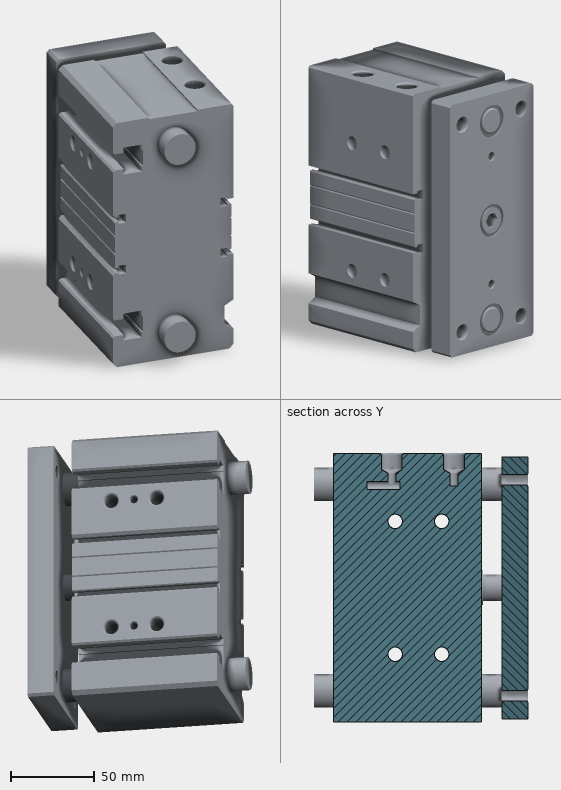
import cadquery as cq
import math

CUT_MARGIN = 1.6

PLATE_THICKNESS = 16.0
PLATE_DEPTH = 71.0
PLATE_HEIGHT = 158.1
PLATE_CHAMFER = 1.6
CORNER_HOLE_Y = 25.0
CORNER_HOLE_Z = 65.0
ROD_RECESS_DIAMETER = 20.1
ROD_RECESS_DEPTH = 1.3

HOUSING_START = 28.0
HOUSING_LENGTH = 89.5
HOUSING_DEPTH = 78.0
HOUSING_HEIGHT = 162.0
CORNER_CHAMFER = 2.6
TOP_BACK_CHAMFER = 1.1
TOP_RECESS_HALF_WIDTH = 15.7
TOP_RECESS_DEPTH = 1.0
BOSS_DIAMETER = 20.7
BOSS_HEIGHT = 1.0

T_SLOT_Z = 55.0
T_SLOT_MOUTH_HALF = 5.3
T_SLOT_CAVITY_HALF = 8.9
T_SLOT_LIP = 7.0
T_SLOT_DEPTH = 18.5
T_SLOT_CHAMFER = 1.22
T_SLOT_RELIEF_DEPTH = 1.0

BAND_HALF_HEIGHT = 15.2
BAND_RECESS = 1.22
SENSOR_SLOT_WIDTH = 3.2
SENSOR_SLOT_LIP = 3.7
SENSOR_SLOT_DEPTH = 8.5
SENSOR_SLOT_UNDERCUT = 1.3
SENSOR_SLOT_CHAMFER = 1.8
BAND_CHAMFER = 0.6
V_MARK_Z = 6.0
V_MARK_HALF_WIDTH = 0.6
V_MARK_DEPTH = 0.6

NOTCH_TOP = -49.0
NOTCH_BOTTOM = -67.9
NOTCH_DEPTH = 5.7
NOTCH_TAPER = 0.55

MOUNT_HOLE_DIAMETER = 8.5
MOUNT_HOLE_CHAMFER = 0.8
MOUNT_HOLE_OFFSETS = (24.1, 52.2)
CROSS_HOLE_Z = 40.0
PIN_HOLE_DIAMETER = 4.7
PIN_HOLE_CHAMFER = 0.5
PIN_HOLE_DEPTH = 13.0
DRILL_HALF_ANGLE = 59.0

PORT_OFFSETS = (16.7, 54.1)
PORT_Y = 27.9
PORT_DIAMETER = 12.2
PORT_CHAMFER_WIDTH = 1.22
PORT_CHAMFER_DEPTH = 0.8
PORT_DEPTH = 9.7
PORT_PASSAGE_DIAMETER = 4.7
PORT_PASSAGE_DEPTH = 19.5
GALLERY_LENGTH = 19.5

GUIDE_ROD_DIAMETER = 20.1
GUIDE_ROD_Z = 62.2
GUIDE_ROD_END = 129.0
ROD_NOSE_DIAMETER = 15.7
PISTON_ROD_DIAMETER = 16.0
ROD_NOSE_CHAMFER = 0.8
PISTON_ROD_END = 64.8
HEX_ACROSS_FLATS = 8.5
HEX_DEPTH = 4.9

BOSS_START = HOUSING_START - BOSS_HEIGHT
FRONT_Y = -HOUSING_DEPTH / 2
TOP_Z = HOUSING_HEIGHT / 2
PIN_HOLE_OFFSET = sum(MOUNT_HOLE_OFFSETS) / 2

X_DIR = cq.Vector(1, 0, 0)
Y_DIR = cq.Vector(0, 1, 0)
DOWN = cq.Vector(0, 0, -1)


def prism(yz_points):
    """Solid with the given YZ outline, running the full length of the housing."""
    outline = cq.Workplane("YZ", origin=(HOUSING_START, 0, 0)).polyline(yz_points).close()
    return outline.extrude(HOUSING_LENGTH)


def slot_tool(profile, centre_z, side):
    """Cutter from (depth, z offset) points; side is -1 for the front face and +1 for the back."""
    return prism([(side * (HOUSING_DEPTH / 2 - depth), centre_z + z) for depth, z in profile])


def rod(diameter, start, end, z=0.0):
    return cq.Workplane("YZ", origin=(start, 0, z)).circle(diameter / 2).extrude(end - start)


def drill(mouth, direction, profile):
    """Turned cutter: (radius, depth) points revolved about the line from mouth along direction."""
    across = Y_DIR if direction == X_DIR else X_DIR
    plane = cq.Plane(origin=mouth, xDir=across, normal=across.cross(direction))
    return cq.Workplane(plane).polyline([(0, 0), *profile]).close().revolve(360, (0, 0), (0, 1))


def chamfered_hole(mouth, direction, diameter, chamfer, depth):
    radius = diameter / 2
    profile = [(radius + chamfer, 0), (radius, chamfer), (radius, depth), (0, depth)]
    return drill(mouth, direction, profile)


def pin_hole(mouth, direction):
    """Chamfered blind hole with a drill-point bottom."""
    radius = PIN_HOLE_DIAMETER / 2
    tip = PIN_HOLE_DEPTH + radius / math.tan(math.radians(DRILL_HALF_ANGLE))
    profile = [
        (radius + PIN_HOLE_CHAMFER, 0),
        (radius, PIN_HOLE_CHAMFER),
        (radius, PIN_HOLE_DEPTH),
        (0, tip),
    ]
    return drill(mouth, direction, profile)


def port(mouth):
    """Chamfered port bore with a conical bottom leading to a narrow passage."""
    radius = PORT_DIAMETER / 2
    passage = PORT_PASSAGE_DIAMETER / 2
    cone_end = PORT_DEPTH + (radius - passage) / math.tan(math.radians(DRILL_HALF_ANGLE))
    profile = [
        (radius + PORT_CHAMFER_WIDTH, 0),
        (radius, PORT_CHAMFER_DEPTH),
        (radius, PORT_DEPTH),
        (passage, cone_end),
        (passage, PORT_PASSAGE_DEPTH),
        (0, PORT_PASSAGE_DEPTH),
    ]
    return drill(mouth, DOWN, profile)


def housing_block():
    back = HOUSING_DEPTH / 2
    c = CORNER_CHAMFER
    return prism([
        (FRONT_Y + c, -TOP_Z),
        (back - c, -TOP_Z),
        (back, -TOP_Z + c),
        (back, TOP_Z - TOP_BACK_CHAMFER),
        (back - TOP_BACK_CHAMFER, TOP_Z),
        (TOP_RECESS_HALF_WIDTH, TOP_Z),
        (TOP_RECESS_HALF_WIDTH, TOP_Z - TOP_RECESS_DEPTH),
        (-TOP_RECESS_HALF_WIDTH, TOP_Z - TOP_RECESS_DEPTH),
        (-TOP_RECESS_HALF_WIDTH, TOP_Z),
        (FRONT_Y + c, TOP_Z),
        (FRONT_Y, TOP_Z - c),
        (FRONT_Y, -TOP_Z + c),
    ])


def t_slot(centre_z):
    """Undercut slot with a chamfered mouth and a relief along its floor."""
    half_profile = [
        (0, T_SLOT_MOUTH_HALF + T_SLOT_CHAMFER),
        (T_SLOT_CHAMFER, T_SLOT_MOUTH_HALF),
        (T_SLOT_LIP, T_SLOT_MOUTH_HALF),
        (T_SLOT_LIP, T_SLOT_CAVITY_HALF),
        (T_SLOT_DEPTH, T_SLOT_CAVITY_HALF),
        (T_SLOT_DEPTH, T_SLOT_MOUTH_HALF),
        (T_SLOT_DEPTH + T_SLOT_RELIEF_DEPTH, T_SLOT_MOUTH_HALF),
    ]
    mirrored = [(depth, -z) for depth, z in reversed(half_profile)]
    return slot_tool(half_profile + mirrored, centre_z, -1)


def centre_band(side, mouth_chamfer):
    """Shallow recess of the centre band, its two sensor slots and its two V marks."""
    slot_top = BAND_HALF_HEIGHT + SENSOR_SLOT_WIDTH
    undercut_top = slot_top + SENSOR_SLOT_UNDERCUT
    half_profile = [
        (-CUT_MARGIN, slot_top + mouth_chamfer + CUT_MARGIN),
        (mouth_chamfer, slot_top),
        (SENSOR_SLOT_LIP, slot_top),
        (SENSOR_SLOT_LIP, undercut_top),
        (SENSOR_SLOT_DEPTH, undercut_top),
        (SENSOR_SLOT_DEPTH, BAND_HALF_HEIGHT - SENSOR_SLOT_UNDERCUT),
        (SENSOR_SLOT_LIP, BAND_HALF_HEIGHT - SENSOR_SLOT_UNDERCUT),
        (SENSOR_SLOT_LIP, BAND_HALF_HEIGHT),
        (BAND_RECESS + BAND_CHAMFER, BAND_HALF_HEIGHT),
        (BAND_RECESS, BAND_HALF_HEIGHT - BAND_CHAMFER),
        (BAND_RECESS, V_MARK_Z + V_MARK_HALF_WIDTH),
        (BAND_RECESS + V_MARK_DEPTH, V_MARK_Z),
        (BAND_RECESS, V_MARK_Z - V_MARK_HALF_WIDTH),
    ]
    mirrored = [(depth, -z) for depth, z in reversed(half_profile)]
    return slot_tool(half_profile + mirrored, 0, side)


def back_notch():
    inset = NOTCH_TAPER * NOTCH_DEPTH
    profile = [
        (0, NOTCH_TOP),
        (NOTCH_DEPTH, NOTCH_TOP - inset),
        (NOTCH_DEPTH, NOTCH_BOTTOM + inset),
        (0, NOTCH_BOTTOM),
    ]
    return slot_tool(profile, 0, 1)


def air_gallery():
    """Blind gallery along X at the foot of the rear port's passage."""
    start = HOUSING_START + PORT_OFFSETS[-1] - PORT_PASSAGE_DIAMETER
    foot_z = TOP_Z - PORT_PASSAGE_DEPTH
    gallery = rod(PORT_PASSAGE_DIAMETER, start, start + GALLERY_LENGTH, foot_z)
    return gallery.translate((0, PORT_Y, 0))


def make_housing():
    body = housing_block().union(rod(BOSS_DIAMETER, BOSS_START, HOUSING_START))
    for z in (-T_SLOT_Z, T_SLOT_Z):
        body = body.cut(t_slot(z))
    body = body.cut(centre_band(-1, SENSOR_SLOT_CHAMFER))
    body = body.cut(centre_band(1, 0))
    body = body.cut(back_notch())
    for z in (-CROSS_HOLE_Z, CROSS_HOLE_Z):
        for offset in MOUNT_HOLE_OFFSETS:
            mouth = cq.Vector(HOUSING_START + offset, FRONT_Y, z)
            reach = HOUSING_DEPTH + CUT_MARGIN
            body = body.cut(chamfered_hole(mouth, Y_DIR, MOUNT_HOLE_DIAMETER, MOUNT_HOLE_CHAMFER, reach))
        body = body.cut(pin_hole(cq.Vector(HOUSING_START + PIN_HOLE_OFFSET, FRONT_Y, z), Y_DIR))
    for offset in PORT_OFFSETS:
        body = body.cut(port(cq.Vector(HOUSING_START + offset, PORT_Y, TOP_Z)))
    body = body.cut(air_gallery())
    for z in (-GUIDE_ROD_Z, GUIDE_ROD_Z):
        body = body.cut(rod(GUIDE_ROD_DIAMETER, HOUSING_START, HOUSING_START + HOUSING_LENGTH, z))
    return body.cut(rod(PISTON_ROD_DIAMETER, BOSS_START, PISTON_ROD_END))


def make_plate():
    plate = cq.Workplane("YZ").rect(PLATE_DEPTH, PLATE_HEIGHT).extrude(PLATE_THICKNESS)
    plate = plate.edges("|X").chamfer(PLATE_CHAMFER)
    reach = PLATE_THICKNESS + CUT_MARGIN
    for y in (-CORNER_HOLE_Y, CORNER_HOLE_Y):
        for z in (-CORNER_HOLE_Z, CORNER_HOLE_Z):
            mouth = cq.Vector(0, y, z)
            plate = plate.cut(chamfered_hole(mouth, X_DIR, MOUNT_HOLE_DIAMETER, MOUNT_HOLE_CHAMFER, reach))
    plate = plate.cut(rod(PISTON_ROD_DIAMETER, 0, PLATE_THICKNESS))
    for z in (-GUIDE_ROD_Z, GUIDE_ROD_Z):
        plate = plate.cut(rod(ROD_NOSE_DIAMETER, 0, PLATE_THICKNESS, z))
    for z in (-GUIDE_ROD_Z, 0, GUIDE_ROD_Z):
        plate = plate.cut(rod(ROD_RECESS_DIAMETER, 0, ROD_RECESS_DEPTH, z))
    for z in (-CROSS_HOLE_Z, CROSS_HOLE_Z):
        plate = plate.cut(pin_hole(cq.Vector(0, 0, z), X_DIR))
    return plate


def make_guide_rod(z):
    """Guide rod with a turned-down nose that fills its hole in the plate."""
    nose = rod(ROD_NOSE_DIAMETER, 0, PLATE_THICKNESS, z).faces("<X").chamfer(ROD_NOSE_CHAMFER)
    return nose.union(rod(GUIDE_ROD_DIAMETER, PLATE_THICKNESS, GUIDE_ROD_END, z))


def make_piston_rod():
    """Piston rod, flush with the plate, with a hexagon socket in its end."""
    corner_distance = HEX_ACROSS_FLATS / math.cos(math.pi / 6)
    socket = cq.Workplane("YZ").polygon(6, corner_distance).extrude(HEX_DEPTH)
    return rod(PISTON_ROD_DIAMETER, 0, PISTON_ROD_END).cut(socket)


housing = make_housing()
plate = make_plate()
guide_rods = [make_guide_rod(z) for z in (-GUIDE_ROD_Z, GUIDE_ROD_Z)]
piston_rod = make_piston_rod()

result = cq.Compound.makeCompound([
    housing.val(),
    plate.val(),
    *[guide_rod.val() for guide_rod in guide_rods],
    piston_rod.val(),
])